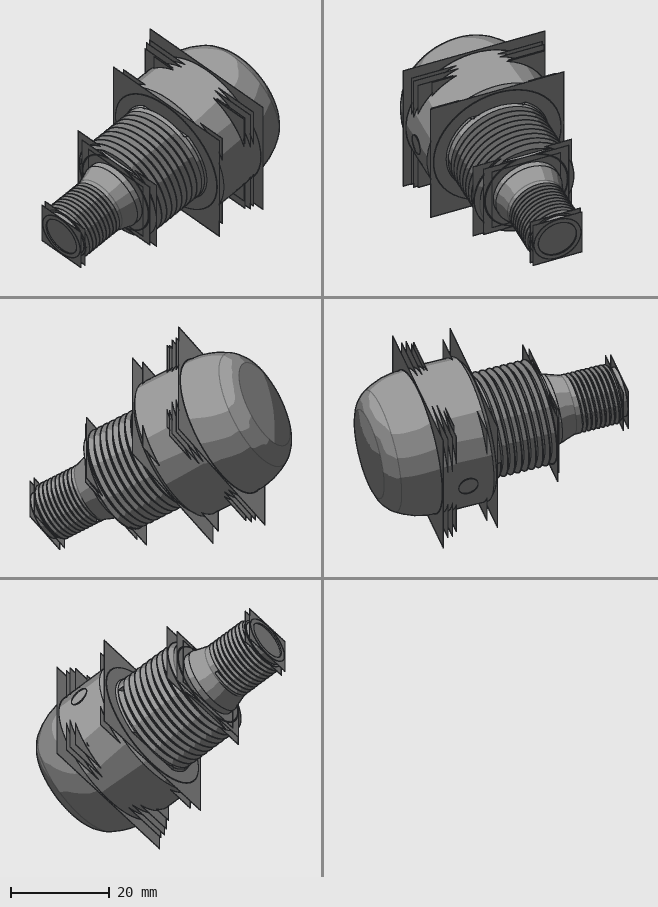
import cadquery as cq
import math

overall_length = 54.68
tip_y = -overall_length / 2

nose_end = 1.25
plug_thread_start = 1.9
cone_start = 11.4
cone_end = 14.8
stem_front = 16.18
stem_thread_start = 16.85
neck_start = 30.6
base_bottom = 31.2
base_wall_start = 32.15
lens_seat = 43.23

nose_radius = 5.16
socket_radius = 4.2
plug_chamfer_radius = 5.6
plug_radius = 6.2
plug_root_radius = 5.55
plug_pitch = 1.0
plug_groove_start = 1.25
plug_groove_end = 10.6
cone_radius = 7.3
stem_radius = 11.0
stem_root_radius = 10.0
stem_pitch = 1.5
stem_groove_start = 15.75
stem_groove_end = 30.0
neck_fillet_start = 30.75
neck_fillet_radius = 11.26
stem_face_radius = 9.0
base_face_radius = 13.97
base_radius = 15.08
lens_radius = 14.96

shoulder_radius = 12.72
shoulder_height = math.sqrt(lens_radius**2 - shoulder_radius**2)
crown_radius = 9.3
crown_rise = 1.0

front_flat_half = 8.97
neck_flat_half = 9.4

button_radius = 2.07
button_station = 37.65
button_depth = 2.0
button_reach = 15.15

flange_thickness = 0.04
socket_depth = 0.3
lens_flange_half = 15.6
nose_flange_half = 5.4
plug_flange_half = 5.5
plug_flange_station = 1.15
gland_flange_half = 7.53
bottom_flange_half = 14.63
wide_flange_half = 14.35
wide_flange_stations = (41.75, 40.76)
middle_flange_half = 13.8
middle_flange_station = 39.77
offset_flange_station = 39.28
offset_flange_x = (-10.9, 13.95)
offset_flange_z = (-11.0, 14.0)
lower_flange_station = 33.14
lower_flange_half_x = 13.65
lower_flange_half_z = 13.0
stem_flange_station = 17.2
stem_flange_x = (-11.32, 10.36)
stem_flange_z = (-9.32, 9.32)
front_flange_half_x = 9.35
front_flange_half_z = 8.84

groove_overshoot = 0.1
groove_width_share = 0.99


def along(station):
    """Y coordinate of a distance measured from the connector tip."""
    return tip_y + station


def turned(points):
    """Solid of revolution about Y from (radius, station) points, closed along the axis."""
    stations = [station for _, station in points]
    outline = [(0, stations[0])] + points + [(0, stations[-1])]
    profile = cq.Workplane("XY").polyline([(r, along(s)) for r, s in outline]).close()
    return profile.revolve(360, (0, 0, 0), (0, 1, 0))


def flange(station, x_min, x_max, z_min, z_max):
    """Thin rectangular sheet square to the axis, starting at a station and growing towards +Y."""
    sheet = cq.Workplane("XY").box(
        x_max - x_min, flange_thickness, z_max - z_min, centered=False
    )
    return sheet.translate((x_min, along(station), z_min))


def square_flange(station, half_x, half_z=None):
    """Flange centred on the axis; square unless a second half width is given."""
    half_z = half_z or half_x
    return flange(station, -half_x, half_x, -half_z, half_z)


def thread_groove(start, end, crest, root, pitch):
    """Right-handed V groove running from one station to another."""
    mouth_radius = crest + groove_overshoot
    half_width = groove_width_share * pitch / 2
    helix = cq.Wire.makeHelix(pitch, end - start, root)
    tooth = (
        cq.Workplane("XZ")
        .moveTo(root, 0)
        .lineTo(mouth_radius, half_width)
        .lineTo(mouth_radius, -half_width)
        .close()
    )
    groove = tooth.sweep(cq.Workplane(obj=helix), isFrenet=True)
    return groove.rotate((0, 0, 0), (1, 0, 0), -90).translate((0, along(start), 0))


def between_flats(body, start, end, half_height):
    """Trim a stretch of a body to two flats facing +Z and -Z."""
    span = 2 * base_radius
    block = cq.Workplane("XY").box(span, end - start, span)
    slab = cq.Workplane("XY").box(span, end - start, 2 * half_height)
    trim = block.cut(slab).translate((0, along((start + end) / 2), 0))
    return body.cut(trim)


def make_lens():
    """Domed cap: a spherical zone, a rounded shoulder and a shallow crown."""
    seat_y = along(lens_seat)
    top_y = along(overall_length)
    zone_mid = math.asin(shoulder_height / lens_radius) / 2
    sphere_mid = (lens_radius * math.cos(zone_mid), seat_y + lens_radius * math.sin(zone_mid))
    crown_sphere = (crown_radius**2 + crown_rise**2) / (2 * crown_rise)
    half_crown = crown_radius / 2
    crown_mid_drop = crown_sphere - math.sqrt(crown_sphere**2 - half_crown**2)
    profile = (
        cq.Workplane("XY")
        .moveTo(0, seat_y)
        .lineTo(lens_radius, seat_y)
        .threePointArc(sphere_mid, (shoulder_radius, seat_y + shoulder_height))
        .tangentArcPoint((crown_radius, top_y - crown_rise), relative=False)
        .threePointArc((half_crown, top_y - crown_mid_drop), (0, top_y))
        .close()
    )
    return profile.revolve(360, (0, 0, 0), (0, 1, 0))


def make_button():
    """Round button lying in the -X side of the base."""
    button = cq.Workplane("YZ").circle(button_radius).extrude(button_depth)
    return button.translate((-button_reach, along(button_station), 0))


def make_base(button):
    """Housing drum with its threaded stem and thin flanges, pocketed for the button."""
    stem = turned(
        [
            (stem_face_radius, stem_front),
            (stem_radius, stem_thread_start),
            (stem_radius, neck_fillet_start),
            (neck_fillet_radius, base_bottom),
        ]
    )
    stem = stem.cut(
        thread_groove(
            stem_groove_start, stem_groove_end, stem_radius, stem_root_radius, stem_pitch
        )
    )
    stem = between_flats(stem, stem_front, stem_thread_start, front_flat_half)
    stem = between_flats(stem, neck_start, base_bottom, neck_flat_half)

    base = turned(
        [
            (base_face_radius, base_bottom),
            (base_radius, base_wall_start),
            (base_radius, lens_seat),
        ]
    ).union(stem)

    base_flanges = [
        square_flange(lens_seat - flange_thickness, lens_flange_half),
        square_flange(middle_flange_station, middle_flange_half),
        flange(offset_flange_station, *offset_flange_x, *offset_flange_z),
        square_flange(lower_flange_station, lower_flange_half_x, lower_flange_half_z),
        square_flange(base_bottom + flange_thickness, bottom_flange_half),
        flange(stem_flange_station, *stem_flange_x, *stem_flange_z),
        square_flange(stem_front + flange_thickness, front_flange_half_x, front_flange_half_z),
    ]
    for station in wide_flange_stations:
        base_flanges.append(square_flange(station, wide_flange_half))
    for sheet in base_flanges:
        base = base.union(sheet)
    return base.cut(button)


def make_connector():
    """Threaded plug with a conical shoulder that seats on the front of the stem."""
    connector = turned(
        [
            (nose_radius, 0),
            (nose_radius, nose_end),
            (plug_chamfer_radius, nose_end),
            (plug_radius, plug_thread_start),
            (plug_radius, cone_start),
            (cone_radius, cone_end),
            (cone_radius, stem_front),
        ]
    )
    connector = connector.cut(
        thread_groove(
            plug_groove_start, plug_groove_end, plug_radius, plug_root_radius, plug_pitch
        )
    )
    for sheet in (
        square_flange(flange_thickness, nose_flange_half),
        square_flange(plug_flange_station, plug_flange_half),
        square_flange(stem_front - flange_thickness, gland_flange_half),
    ):
        connector = connector.union(sheet)
    socket = turned([(socket_radius, 0), (socket_radius, socket_depth)])
    return connector.cut(socket)


lens = make_lens()
button = make_button()
base = make_base(button)
connector = make_connector()

result = cq.Compound.makeCompound([lens.val(), button.val(), base.val(), connector.val()])